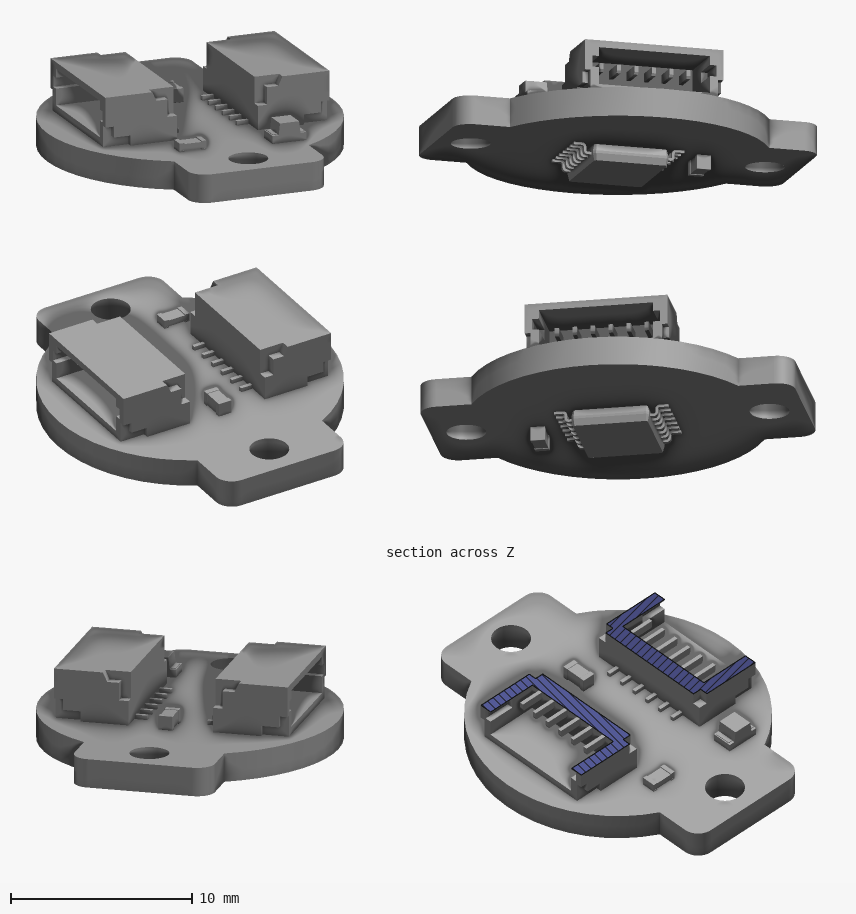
import cadquery as cq

board_thickness = 1.64
board_length = 21.0
disc_diameter = 16.99
ear_width = 8.02
ear_corner_radius = 1.0
mount_hole_diameter = 2.2
mount_hole_spacing = 17.0

housing_length = 8.0
housing_depth = 4.26
housing_gap = 0.05
housing_top = 2.98
housing_mouth_y = 6.68
rear_connector_shift = -0.02

mouth_length = 6.4
mouth_bottom = 0.48
mouth_top = 2.58
mouth_depth = 3.2
side_slot_width = 0.38
side_slot_depth = 1.68
side_slot_bottom = 1.45
side_slot_top = 2.08

rear_notch_width = 0.5
rear_notch_bottom = 1.45
rear_notch_shelf = 2.45
rear_notch_step = 0.55
rear_notch_ramp_start = 1.22
rear_notch_ramp_end = 1.47

front_notch_width = 0.32
front_notch_top = 1.25
front_notch_shelf = 0.63
front_notch_step = 0.5
front_notch_length = 1.51

contact_count = 6
contact_pitch = 1.0
contact_width = 0.23
contact_bottom = 1.68
contact_top = 2.16
contact_reach = 1.47
contact_bevel_height = 0.15
contact_bevel_length = 0.06
solder_lead_height = 0.25
solder_lead_reach = 0.7
solder_lead_embed = 0.2

capacitor_length = 1.62
capacitor_width = 0.82
capacitor_height = 0.82
capacitor_cap_length = 0.32
capacitor_inset = 0.05
capacitor_rounding = 0.02
top_capacitor_x = -3.38
top_capacitor_y = 0.25
bottom_capacitor_x = -4.5
bottom_capacitor_y = 0.7

resistor_length = 1.6
resistor_width = 0.85
resistor_height = 0.5
resistor_cap_length = 0.27
resistor_cap_thickness = 0.06
resistor_side_inset = 0.02
resistor_x = 5.63
resistor_y = -2.29

led_length = 2.02
led_width = 1.25
led_base_height = 0.46
led_end_plate = 0.06
led_lens_base_length = 1.3
led_lens_top_length = 1.13
led_height = 1.13
led_pad_width = 0.95
led_pad_length = 0.27
led_pad_thickness = 0.05
led_x = 5.92
led_y = 3.25

chip_length = 5.0
chip_width = 4.37
chip_standoff = 0.13
chip_band_near = 0.5
chip_band_far = 0.65
chip_bottom = 1.05
chip_corner = 0.15
chip_draft = 13
chip_leads_per_side = 7
chip_lead_pitch = 0.65
chip_lead_width = 0.25
chip_lead_thickness = chip_band_far - chip_band_near
chip_lead_span = 6.4
chip_lead_knee = 2.62
chip_lead_bend = 0.08


def box_between(x_range, y_range, z_range):
    """Box that fills the given ranges."""
    size = [high - low for low, high in (x_range, y_range, z_range)]
    return cq.Workplane("XY").box(*size, centered=False).translate((x_range[0], y_range[0], z_range[0]))


def centred_box(length, width, bottom, top):
    """Box centred on the Z axis between two heights."""
    return box_between((-length / 2, length / 2), (-width / 2, width / 2), (bottom, top))


def side_profile(points, x_start, x_end):
    """Extrude a (Y, Z) outline along X."""
    return cq.Workplane("YZ").workplane(offset=x_start).polyline(points).close().extrude(x_end - x_start)


def evenly_spaced(count, pitch):
    """Positions of a row centred on zero."""
    return [(i - (count - 1) / 2) * pitch for i in range(count)]


def make_board():
    ears = centred_box(board_length, ear_width, 0, board_thickness).edges("|Z").fillet(ear_corner_radius)
    disc = cq.Workplane("XY").circle(disc_diameter / 2).extrude(board_thickness)
    return (
        disc.union(ears)
        .faces(">Z").workplane(origin=(0, 0, board_thickness))
        .pushPoints([(-mount_hole_spacing / 2, 0), (mount_hole_spacing / 2, 0)])
        .hole(mount_hole_diameter)
    )


def make_mouth():
    """Plug opening at Y = 0 with a keying slot at each side."""
    opening = centred_box(mouth_length, 2 * mouth_depth, mouth_bottom, mouth_top)
    slots = centred_box(
        mouth_length + 2 * side_slot_width, 2 * side_slot_depth, side_slot_bottom, side_slot_top
    )
    return opening.union(slots)


def make_rear_notch(x_start, x_end):
    """Stepped and ramped notch in one rear upper corner."""
    rear = housing_depth
    outline = [
        (rear, rear_notch_bottom),
        (rear - rear_notch_step, rear_notch_bottom),
        (rear - rear_notch_step, rear_notch_shelf),
        (rear - rear_notch_ramp_start, rear_notch_shelf),
        (rear - rear_notch_ramp_end, housing_top),
        (rear, housing_top),
    ]
    return side_profile(outline, x_start, x_end)


def make_front_notch(x_start, x_end):
    """Stepped notch in one lower corner beside the mouth."""
    outline = [
        (0, housing_gap),
        (0, front_notch_top),
        (front_notch_step, front_notch_top),
        (front_notch_step, front_notch_shelf),
        (front_notch_length, front_notch_shelf),
        (front_notch_length, housing_gap),
    ]
    return side_profile(outline, x_start, x_end)


def make_contact(x):
    """Contact blade from the back wall toward the mouth, bevelled under its tip."""
    tip = mouth_depth - contact_reach
    outline = [
        (tip, contact_top),
        (tip, contact_bottom + contact_bevel_height),
        (tip + contact_bevel_length, contact_bottom),
        (mouth_depth, contact_bottom),
        (mouth_depth, contact_top),
    ]
    return side_profile(outline, x - contact_width / 2, x + contact_width / 2)


def make_solder_lead(x):
    return box_between(
        (x - contact_width / 2, x + contact_width / 2),
        (housing_depth - solder_lead_embed, housing_depth + solder_lead_reach),
        (0, solder_lead_height),
    )


def make_connector():
    """Connector standing on Z = 0 with its mouth at Y = 0, facing -Y."""
    side = housing_length / 2
    body = box_between((-side, side), (0, housing_depth), (housing_gap, housing_top)).cut(make_mouth())
    body = body.cut(make_rear_notch(-side, -side + rear_notch_width))
    body = body.cut(make_rear_notch(side - rear_notch_width, side))
    body = body.cut(make_front_notch(-side, -side + front_notch_width))
    body = body.cut(make_front_notch(side - front_notch_width, side))
    for x in evenly_spaced(contact_count, contact_pitch):
        body = body.union(make_contact(x)).union(make_solder_lead(x))
    return body


def make_capacitor():
    """Capacitor with end caps that stand proud of its middle all round."""
    middle = centred_box(
        capacitor_length - capacitor_cap_length,
        capacitor_width - 2 * capacitor_inset,
        capacitor_inset,
        capacitor_height - capacitor_inset,
    )
    end_cap = centred_box(capacitor_cap_length, capacitor_width, 0, capacitor_height)
    end_cap = end_cap.edges().fillet(capacitor_rounding)
    offset = (capacitor_length - capacitor_cap_length) / 2
    return middle.union(end_cap.translate((-offset, 0, 0))).union(end_cap.translate((offset, 0, 0)))


def make_resistor():
    """Flat resistor whose ceramic is gripped by a C-shaped metal cap at each end."""
    ceramic = centred_box(
        resistor_width - 2 * resistor_side_inset,
        resistor_length - 2 * resistor_cap_thickness,
        resistor_cap_thickness,
        resistor_height - resistor_cap_thickness,
    )
    half_width = resistor_width / 2
    end = resistor_length / 2
    inner = end - resistor_cap_length
    wall = end - resistor_cap_thickness
    cap_outline = [
        (inner, 0),
        (end, 0),
        (end, resistor_height),
        (inner, resistor_height),
        (inner, resistor_height - resistor_cap_thickness),
        (wall, resistor_height - resistor_cap_thickness),
        (wall, resistor_cap_thickness),
        (inner, resistor_cap_thickness),
    ]
    cap = side_profile(cap_outline, -half_width, half_width)
    return ceramic.union(cap).union(cap.mirror("XZ"))


def make_led():
    """Diode base with a tapered lens on top and a thin metal pad at each end."""
    base = centred_box(led_width, led_length, 0, led_base_height)
    lens_outline = [
        (-led_lens_base_length / 2, led_base_height),
        (led_lens_base_length / 2, led_base_height),
        (led_lens_top_length / 2, led_height),
        (-led_lens_top_length / 2, led_height),
    ]
    lens = side_profile(lens_outline, -led_width / 2, led_width / 2)
    pad = centred_box(led_pad_width, led_pad_length, led_base_height, led_base_height + led_pad_thickness)
    offset = led_length / 2 - led_end_plate - led_pad_length / 2
    return base.union(lens).union(pad.translate((0, -offset, 0))).union(pad.translate((0, offset, 0)))


def make_chip_lead(y):
    """Gull-wing lead on the +X side: shoulder, drop and foot with rounded bends."""
    inner_x = chip_width / 2 - chip_lead_thickness
    drop_x = chip_lead_knee - chip_lead_thickness
    tip_x = chip_lead_span / 2
    inside = chip_lead_bend
    outside = chip_lead_bend + chip_lead_thickness
    foot = chip_lead_thickness
    return (
        cq.Workplane("XZ", origin=(0, y + chip_lead_width / 2, 0))
        .moveTo(inner_x, -chip_band_far)
        .lineTo(chip_lead_knee - outside, -chip_band_far)
        .radiusArc((chip_lead_knee, -chip_band_far + outside), -outside)
        .lineTo(chip_lead_knee, -foot - inside)
        .radiusArc((chip_lead_knee + inside, -foot), inside)
        .lineTo(tip_x, -foot)
        .lineTo(tip_x, 0)
        .lineTo(drop_x + outside, 0)
        .radiusArc((drop_x, -outside), -outside)
        .lineTo(drop_x, -chip_band_near + inside)
        .radiusArc((drop_x - inside, -chip_band_near), inside)
        .lineTo(inner_x, -chip_band_near)
        .close()
        .extrude(chip_lead_width)
    )


def chip_slab(start, height, draft):
    """Slab of the chip package with cut corners, narrowing away from its start height."""
    x = chip_width / 2
    y = chip_length / 2
    c = chip_corner
    outline = [
        (x, c - y), (x, y - c), (x - c, y), (c - x, y),
        (-x, y - c), (-x, c - y), (c - x, -y), (x - c, -y),
    ]
    return cq.Workplane("XY", origin=(0, 0, start)).polyline(outline).close().extrude(height, taper=draft)


def make_chip():
    """Chip hanging under Z = 0."""
    body = chip_slab(-chip_band_far, chip_band_far - chip_band_near, 0)
    body = body.union(chip_slab(-chip_band_near, chip_band_near - chip_standoff, chip_draft))
    body = body.union(chip_slab(-chip_band_far, chip_band_far - chip_bottom, chip_draft))
    for y in evenly_spaced(chip_leads_per_side, chip_lead_pitch):
        lead = make_chip_lead(y)
        body = body.union(lead).union(lead.mirror("YZ"))
    return body


board = make_board()

connectors = []
for turn, shift in ((0, 0), (180, rear_connector_shift)):
    placed = make_connector().translate((0, -housing_mouth_y, board_thickness))
    connectors.append(placed.rotate((0, 0, 0), (0, 0, 1), turn).translate((shift, 0, 0)))

capacitors = [
    make_capacitor().translate((top_capacitor_x, top_capacitor_y, board_thickness)),
    make_capacitor()
    .rotate((0, 0, 0), (0, 0, 1), 90)
    .translate((bottom_capacitor_x, bottom_capacitor_y, -capacitor_height)),
]
resistor = make_resistor().translate((resistor_x, resistor_y, board_thickness))
led = make_led().translate((led_x, led_y, board_thickness))
chip = make_chip()

result = cq.Compound.makeCompound(
    [
        board.val(),
        *[connector.val() for connector in connectors],
        *[capacitor.val() for capacitor in capacitors],
        resistor.val(),
        led.val(),
        chip.val(),
    ]
)